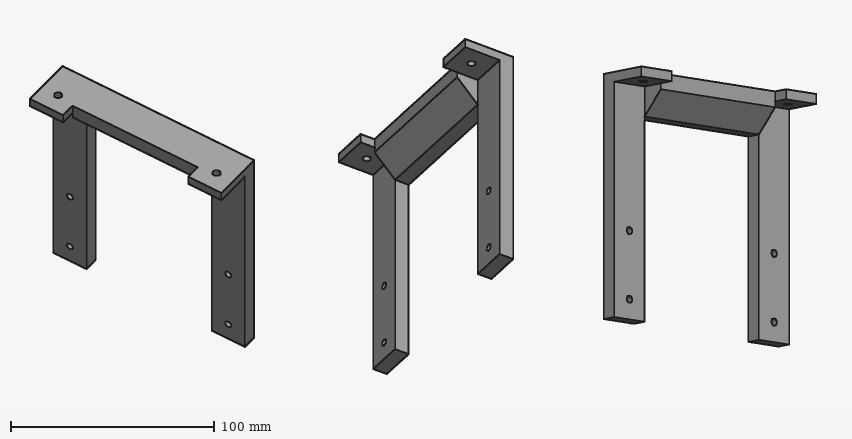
import cadquery as cq

width = 115.0
depth = 28.0
height = 122.5

leg_width = 20.0
leg_thickness = 8.0
plate_thickness = 5.0

bar_depth = 20.0
bar_height = 20.0
bar_front_height = 8.0
bar_width = width - 2 * leg_width

leg_hole_diameter = 3.5
leg_hole_heights = (10.0, 44.3)
plate_hole_diameter = 4.0
plate_hole_from_front = 10.0

back = depth
leg_front = back - leg_thickness
bar_front = back - bar_depth
leg_center = (width - leg_width) / 2


def make_bracket(side):
    """L-shaped leg with its top plate, on the left (-1) or right (+1)."""
    x_center = side * leg_center
    bracket = (
        cq.Workplane("YZ", origin=(x_center - leg_width / 2, 0, 0))
        .moveTo(back, 0)
        .lineTo(back, height)
        .lineTo(0, height)
        .lineTo(0, height - plate_thickness)
        .lineTo(leg_front, height - plate_thickness)
        .lineTo(leg_front, 0)
        .close()
        .extrude(leg_width)
    )
    leg_holes = (
        cq.Workplane("XZ", origin=(0, back, 0))
        .pushPoints([(x_center, z) for z in leg_hole_heights])
        .circle(leg_hole_diameter / 2)
        .extrude(leg_thickness)
    )
    plate_hole = (
        cq.Workplane("XY", origin=(0, 0, height - plate_thickness))
        .center(x_center, plate_hole_from_front)
        .circle(plate_hole_diameter / 2)
        .extrude(plate_thickness)
    )
    return bracket.cut(leg_holes).cut(plate_hole)


def make_crossbar():
    """Bar joining the legs, tapering from the leg front up to its own front face."""
    return (
        cq.Workplane("YZ", origin=(-bar_width / 2, 0, 0))
        .moveTo(back, height)
        .lineTo(bar_front, height)
        .lineTo(bar_front, height - bar_front_height)
        .lineTo(leg_front, height - bar_height)
        .lineTo(back, height - bar_height)
        .close()
        .extrude(bar_width)
    )


result = make_crossbar().union(make_bracket(-1)).union(make_bracket(1))